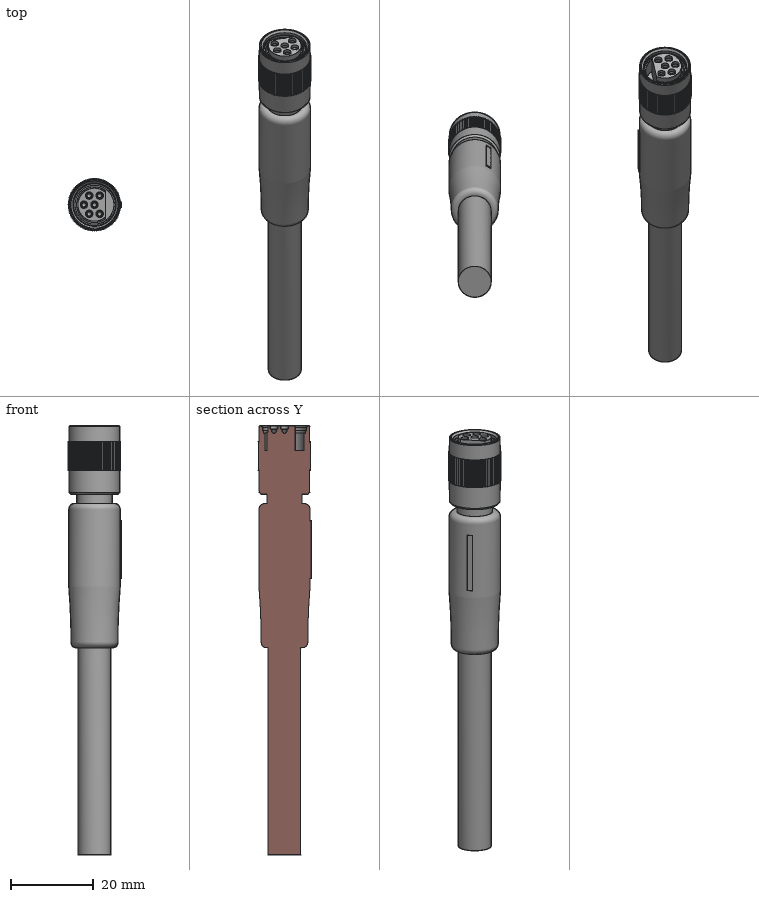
import cadquery as cq
import math

TOTAL_HEIGHT = 103.83
KNURL_TOP = TOTAL_HEIGHT - 3.85
KNURL_BOTTOM = TOTAL_HEIGHT - 10.85
NUT_BOTTOM = TOTAL_HEIGHT - 16.65
GRIP_TOP = TOTAL_HEIGHT - 18.8
TAPER_START = TOTAL_HEIGHT - 38.95
TAPER_END = TOTAL_HEIGHT - 52.3
GRIP_BOTTOM = TOTAL_HEIGHT - 53.8

CABLE_DIAMETER = 8.0
GRIP_DIAMETER = 12.5
GRIP_END_DIAMETER = 11.4
GRIP_TOP_FILLET = 1.5
GRIP_BOTTOM_FILLET = 1.4
NECK_DIAMETER = 8.64

NUT_DIAMETER = 12.34
NUT_CHAMFER = 0.5
RIM_CHAMFER = 0.2
KNURL_DIAMETER = 12.7
KNURL_DEPTH = 0.18
KNURL_TEETH = 92

MOUTH_DIAMETER = 11.4
MOUTH_CHAMFER_DEPTH = 0.5
RECESS_STEPS = [(10.49, 1.2), (10.11, 1.8), (9.4, 6.0)]
SOCKET_DEPTH = RECESS_STEPS[-1][1]

INSERT_DIAMETER = 8.0
SHELF_DIAMETER = 8.64
SHELF_DEPTH = 1.5
INSERT_FLAT_X = 2.65

CONTACT_CIRCLE_RADIUS = 2.54
CONTACT_PLACES = 6
CONTACT_ENTRY_DIAMETER = 1.78
CONTACT_ENTRY_DEPTH = 0.8
CONTACT_CONE_DIAMETER = 1.55
CONTACT_BORE_DIAMETER = 1.04
CONTACT_CONE_DEPTH = 1.1
CONTACT_BORE_DEPTH = 1.5
CONTACT_TIP_DEPTH = 1.9

BAR_REACH = 6.49
BAR_WIDTH = 1.3
BAR_TOP = TOTAL_HEIGHT - 23.0
BAR_BOTTOM = TOTAL_HEIGHT - 37.0


def disc(diameter, bottom, top):
    """Cylinder on the connector axis between two heights."""
    return cq.Workplane("XY").workplane(offset=bottom).circle(diameter / 2).extrude(top - bottom)


def make_cable():
    return disc(CABLE_DIAMETER, 0, GRIP_BOTTOM + GRIP_BOTTOM_FILLET)


def make_grip():
    """Cylinder whose lower part narrows along a hollow arc that ends upright, with rounded ends."""
    end_radius = GRIP_END_DIAMETER / 2
    grip_radius = GRIP_DIAMETER / 2
    grip = (
        cq.Workplane("XZ")
        .moveTo(0, GRIP_BOTTOM)
        .lineTo(end_radius, GRIP_BOTTOM)
        .lineTo(end_radius, TAPER_END)
        .tangentArcPoint((grip_radius, TAPER_START), relative=False)
        .lineTo(grip_radius, GRIP_TOP)
        .lineTo(0, GRIP_TOP)
        .close()
        .revolve(360, (0, 0), (0, 1))
    )
    grip = grip.faces(">Z").edges().fillet(GRIP_TOP_FILLET)
    return grip.faces("<Z").edges().fillet(GRIP_BOTTOM_FILLET)


def make_marking_bar():
    bar_height = BAR_TOP - BAR_BOTTOM
    bar = cq.Workplane("XY").workplane(offset=BAR_BOTTOM)
    return bar.rect(BAR_REACH, BAR_WIDTH).extrude(bar_height).translate((BAR_REACH / 2, 0, 0))


def make_knurl():
    """Band of straight V-shaped teeth around the nut."""
    crest_radius = KNURL_DIAMETER / 2
    root_radius = crest_radius - KNURL_DEPTH
    half_pitch = math.pi / KNURL_TEETH
    points = []
    for i in range(2 * KNURL_TEETH):
        radius = root_radius if i % 2 else crest_radius
        points.append((radius * math.cos(i * half_pitch), radius * math.sin(i * half_pitch)))
    band = cq.Workplane("XY").workplane(offset=KNURL_BOTTOM)
    return band.polyline(points).close().extrude(KNURL_TOP - KNURL_BOTTOM)


def make_nut():
    nut = disc(NUT_DIAMETER, NUT_BOTTOM, TOTAL_HEIGHT)
    nut = nut.faces("<Z").edges().chamfer(NUT_CHAMFER)
    nut = nut.faces(">Z").edges().chamfer(RIM_CHAMFER)
    return nut.union(make_knurl())


def revolved(outline):
    """Solid of revolution about the connector axis from (radius, height) points."""
    return cq.Workplane("XZ").polyline(outline).close().revolve(360, (0, 0), (0, 1))


def make_socket_recess():
    """Stepped round recess with a conical mouth."""
    outline = [(0, TOTAL_HEIGHT), (MOUTH_DIAMETER / 2, TOTAL_HEIGHT)]
    start_depth = MOUTH_CHAMFER_DEPTH
    for diameter, end_depth in RECESS_STEPS:
        outline.append((diameter / 2, TOTAL_HEIGHT - start_depth))
        outline.append((diameter / 2, TOTAL_HEIGHT - end_depth))
        start_depth = end_depth
    outline.append((0, TOTAL_HEIGHT - SOCKET_DEPTH))
    return revolved(outline)


def make_contact_hole():
    """Stepped hole on the connector axis with a conical lead-in and a conical bottom."""
    outline = [
        (0, TOTAL_HEIGHT),
        (CONTACT_ENTRY_DIAMETER / 2, TOTAL_HEIGHT),
        (CONTACT_ENTRY_DIAMETER / 2, TOTAL_HEIGHT - CONTACT_ENTRY_DEPTH),
        (CONTACT_CONE_DIAMETER / 2, TOTAL_HEIGHT - CONTACT_ENTRY_DEPTH),
        (CONTACT_BORE_DIAMETER / 2, TOTAL_HEIGHT - CONTACT_CONE_DEPTH),
        (CONTACT_BORE_DIAMETER / 2, TOTAL_HEIGHT - CONTACT_BORE_DEPTH),
        (0, TOTAL_HEIGHT - CONTACT_TIP_DEPTH),
    ]
    return revolved(outline)


def make_insert():
    """Contact carrier with a lower shelf, a flat on +X and the contact holes."""
    floor = TOTAL_HEIGHT - SOCKET_DEPTH
    insert = disc(INSERT_DIAMETER, floor, TOTAL_HEIGHT)
    insert = insert.union(disc(SHELF_DIAMETER, floor, TOTAL_HEIGHT - SHELF_DEPTH))
    beyond_flat = cq.Workplane("XY").workplane(offset=floor).rect(SHELF_DIAMETER, SHELF_DIAMETER)
    beyond_flat = beyond_flat.extrude(SOCKET_DEPTH).translate((INSERT_FLAT_X + SHELF_DIAMETER / 2, 0, 0))
    insert = insert.cut(beyond_flat)

    hole = make_contact_hole()
    insert = insert.cut(hole)
    for place in range(1, CONTACT_PLACES):
        angle = 2 * math.pi * place / CONTACT_PLACES
        shift = (CONTACT_CIRCLE_RADIUS * math.cos(angle), CONTACT_CIRCLE_RADIUS * math.sin(angle), 0)
        insert = insert.cut(hole.translate(shift))
    return insert


neck = disc(NECK_DIAMETER, GRIP_TOP - GRIP_TOP_FILLET, NUT_BOTTOM + NUT_CHAMFER)
lower_body = make_cable().union(make_grip()).union(make_marking_bar()).union(neck)
head = make_nut().cut(make_socket_recess()).union(make_insert())
result = lower_body.union(head)